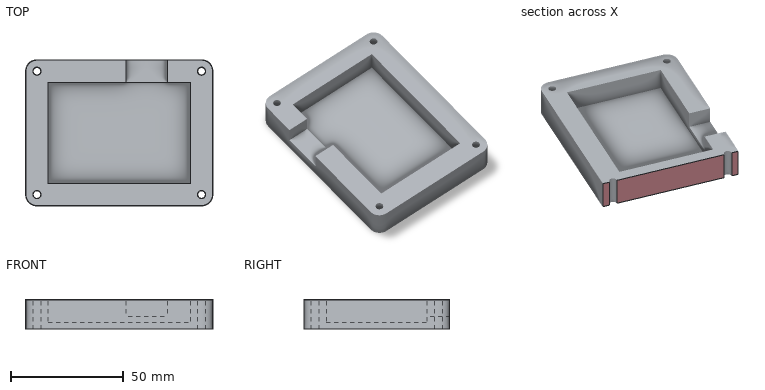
import cadquery as cq

length = 82.92
width = 64.66
height = 13.0
corner_radius = 5.0

wall = 10.0
floor_thickness = 3.0
pocket_length = length - 2 * wall
pocket_width = width - 2 * wall

hole_diameter = 3.4

notch_width = 18.4
notch_center_x = 12.1
notch_depth = 7.5


def make_block():
    block = cq.Workplane("XY").box(length, width, height, centered=(True, True, False))
    return block.edges("|Z").fillet(corner_radius)


def cut_pocket(body):
    pocket_depth = height - floor_thickness
    return body.faces(">Z").workplane().rect(pocket_length, pocket_width).cutBlind(-pocket_depth)


def cut_screw_holes(body):
    spacing_x = length - 2 * corner_radius
    spacing_y = width - 2 * corner_radius
    holes = (
        cq.Workplane("XY")
        .rect(spacing_x, spacing_y, forConstruction=True)
        .vertices()
        .circle(hole_diameter / 2)
        .extrude(height)
    )
    return body.cut(holes)


def cut_notch(body):
    notch = (
        cq.Workplane("XY")
        .box(notch_width, wall, notch_depth, centered=(True, False, False))
        .translate((notch_center_x, width / 2 - wall, height - notch_depth))
    )
    return body.cut(notch)


result = cut_notch(cut_screw_holes(cut_pocket(make_block())))